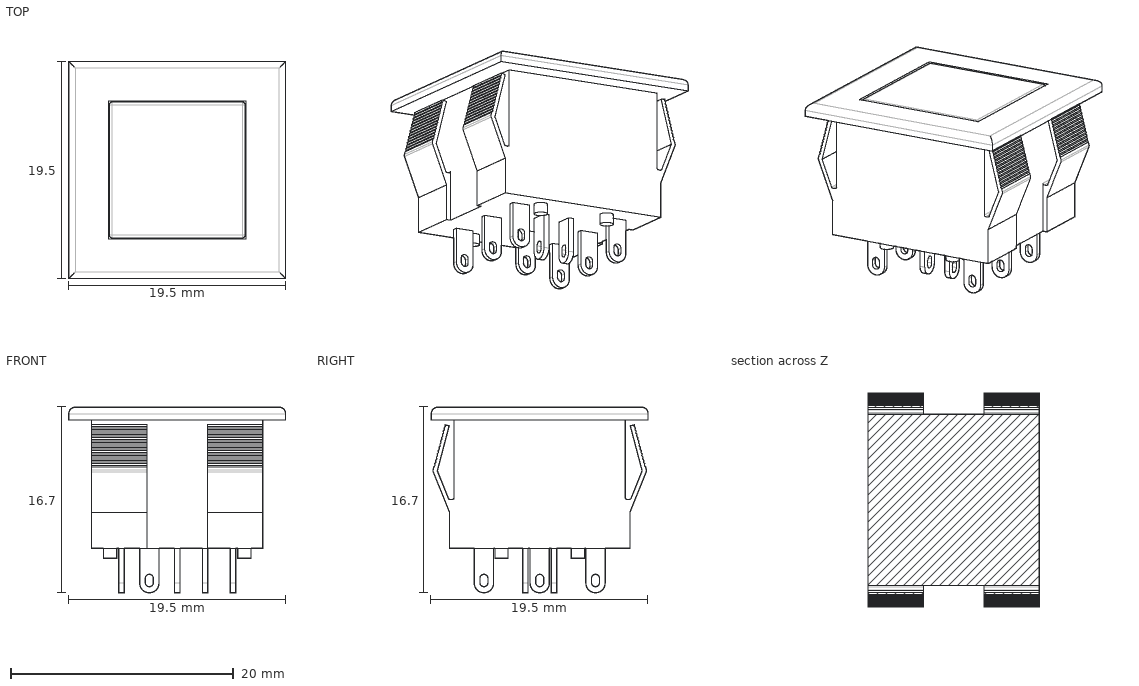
import cadquery as cq
import math


bezel_side = 19.5
bezel_thickness = 1.17
bezel_fillet = 0.6
body_side = 15.4
body_bottom = -12.7

groove_outer_side = 12.36
groove_depth = 0.5
button_side = 12.2
button_fillet = 0.25

clip_width = 5.0
clip_base_depth = 0.4
clip_base_top = -9.45
clip_elbow_y = 9.61
clip_elbow_z = -5.73
clip_elbow_fillet = 0.3
clip_tip_y = 8.52
clip_tip_z = -1.58
clip_thickness = 0.4
slot_bottom = -8.29
slot_fillet = 0.14
slot_edge_tolerance = 0.002

serration_count = 13
serrated_length = 3.92
serration_pitch = serrated_length / serration_count
serration_depth = 0.068

peg_diameter = 1.2
peg_height = 0.9
peg_x = 6.03
peg_y = 3.43

terminal_bottom = -16.7
terminal_width = 1.75
terminal_thickness = 0.5
eyelet_width = 0.7
eyelet_height = 1.1
eyelet_z = -15.58
contact_spacing = 5.01
lamp_x = contact_spacing / 2
lamp_y = 1.29

body_half = body_side / 2
clip_base_y = body_half + clip_base_depth


def make_bezel():
    plate = cq.Workplane("XY").rect(bezel_side, bezel_side).extrude(-bezel_thickness)
    return plate.faces(">Z").edges().fillet(bezel_fillet)


def make_button_groove():
    """Ring cut from the bezel; what stays inside it is the rounded button face."""
    recess = cq.Workplane("XY").rect(groove_outer_side, groove_outer_side).extrude(-groove_depth)
    button = cq.Workplane("XY").rect(button_side, button_side).extrude(-groove_depth)
    button = button.edges("|Z or >Z").fillet(button_fillet)
    return recess.cut(button)


def make_clip_serrations(arm_y, arm_z):
    """V grooves along the clip's outer face; (arm_y, arm_z) is the unit vector from tip to elbow."""
    outline = [(clip_tip_y, clip_tip_z)]
    for i in range(serration_count):
        middle = (i + 0.5) * serration_pitch
        end = (i + 1) * serration_pitch
        outline.append((
            clip_tip_y + middle * arm_y + serration_depth * arm_z,
            clip_tip_z + middle * arm_z - serration_depth * arm_y,
        ))
        outline.append((clip_tip_y + end * arm_y, clip_tip_z + end * arm_z))
    outline.append((clip_elbow_y, clip_tip_z))
    return cq.Workplane("YZ").polyline(outline).close().extrude(clip_width / 2, both=True)


def make_clip():
    """One clip centred on X = 0, standing on the +Y side of the block."""
    arm_length = math.hypot(clip_elbow_y - clip_tip_y, clip_elbow_z - clip_tip_z)
    arm_y = (clip_elbow_y - clip_tip_y) / arm_length
    arm_z = (clip_elbow_z - clip_tip_z) / arm_length

    lower_slope = (clip_elbow_y - clip_base_y) / (clip_elbow_z - clip_base_top)
    inner_elbow_y = clip_elbow_y - clip_thickness / abs(arm_z)
    slot_corner_y = inner_elbow_y - lower_slope * (clip_elbow_z - slot_bottom)
    inner_tip = (clip_tip_y + clip_thickness * arm_z, clip_tip_z - clip_thickness * arm_y)

    outline = [
        (body_half, body_bottom),
        (clip_base_y, body_bottom),
        (clip_base_y, clip_base_top),
        (clip_elbow_y, clip_elbow_z),
        (clip_tip_y, clip_tip_z),
        inner_tip,
        (inner_elbow_y, clip_elbow_z),
        (slot_corner_y, slot_bottom),
        (body_half, slot_bottom),
    ]
    clip = cq.Workplane("YZ").polyline(outline).close().extrude(clip_width / 2, both=True)
    elbow = cq.NearestToPointSelector((0, clip_elbow_y, clip_elbow_z))
    clip = clip.edges(elbow).fillet(clip_elbow_fillet)
    return clip.cut(make_clip_serrations(arm_y, arm_z))


def make_pegs():
    spots = [(x, y) for x in (-peg_x, peg_x) for y in (-peg_y, peg_y)]
    underside = cq.Workplane("XY", origin=(0, 0, body_bottom))
    return underside.pushPoints(spots).circle(peg_diameter / 2).extrude(-peg_height)


def is_slot_bottom(edge):
    return math.isclose(edge.Center().z, slot_bottom, abs_tol=slot_edge_tolerance)


def make_housing():
    """Bezel, block, four clips and four pegs, all in one moulding."""
    housing = cq.Workplane("XY").rect(body_side, body_side).extrude(body_bottom)
    clip = make_clip()
    clip_x = (body_side - clip_width) / 2
    for x in (-clip_x, clip_x):
        for turn in (0, 180):
            housing = housing.union(clip.translate((x, 0, 0)).rotate((0, 0, 0), (0, 0, 1), turn))

    housing = housing.edges("|X").filter(is_slot_bottom).fillet(slot_fillet)
    return housing.union(make_bezel()).cut(make_button_groove()).union(make_pegs())


def make_terminal(x, y, turn):
    """Flat lug with a round end and an eyelet; its broad faces look along X when turn is 0."""
    radius = terminal_width / 2
    shoulder = terminal_bottom + radius
    lug = (
        cq.Workplane("YZ")
        .moveTo(-radius, body_bottom)
        .lineTo(-radius, shoulder)
        .threePointArc((0, terminal_bottom), (radius, shoulder))
        .lineTo(radius, body_bottom)
        .close()
        .extrude(terminal_thickness / 2, both=True)
    )
    eyelet = (
        cq.Workplane("YZ")
        .center(0, eyelet_z)
        .slot2D(eyelet_height, eyelet_width, 90)
        .extrude(terminal_thickness, both=True)
    )
    return lug.cut(eyelet).rotate((0, 0, 0), (0, 0, 1), turn).translate((x, y, 0))


housing = make_housing()

contact_terminals = [
    make_terminal(x, y, 0)
    for x in (-contact_spacing, 0, contact_spacing)
    for y in (-contact_spacing, contact_spacing)
]

lamp_common_terminal = make_terminal(lamp_x, 0, 0)

lamp_feed_terminals = [make_terminal(-lamp_x, y, 90) for y in (-lamp_y, lamp_y)]

terminals = [*contact_terminals, lamp_common_terminal, *lamp_feed_terminals]
result = cq.Compound.makeCompound([housing.val(), *[terminal.val() for terminal in terminals]])